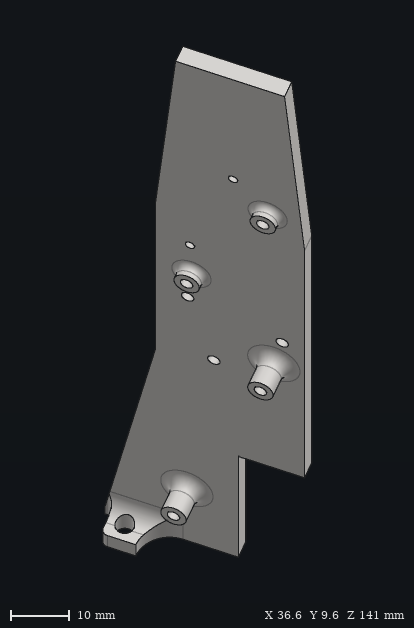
import cadquery as cq

height = 141.0
width = 36.6
thickness = 3.4
total_depth = 9.6
foot_edge_height = 2.0
foot_right = 24.5
notch_height = 29.9
waist_left = 9.3
waist_height = 53.8
shoulder_height = 97.3
top_left = 13.0
top_right = 33.0

long_boss_centres = [(15.1, 15.5), (31.0, 60.9)]
short_boss_centres = [(15.9, 79.5), (29.9, 104.3)]
boss_radius = 2.33
boss_bore_radius = 1.1
long_boss_length = total_depth - thickness
short_boss_length = 2.3
long_boss_fillet = 2.47
short_boss_fillet = 1.3

small_hole_radius = 0.8
small_hole_centres = [(15.6, 87.8), (23.5, 111.5)]
large_hole_radius = 1.1
large_hole_centres = [(15.2, 72.3), (32.5, 67.8), (20.0, 56.1)]

lug_left = 1.7
lug_right = 8.2
lug_height = 3.4
lug_top_fillet = 3.8
lug_left_fillet = 1.3
lug_corner_radius = 1.3
lug_hole_x = 5.0
lug_hole_y = -6.5
lug_hole_radius = 1.7


def plate_outline(depth):
    """Plate outline extruded from the back face towards -Y."""
    return (
        cq.Workplane("XZ")
        .polyline([
            (0, 0),
            (foot_right, 0),
            (foot_right, notch_height),
            (width, notch_height),
            (width, shoulder_height),
            (top_right, height),
            (top_left, height),
            (waist_left, shoulder_height),
            (waist_left, waist_height),
            (0, foot_edge_height),
        ])
        .close()
        .extrude(depth)
    )


def round_bars(centres, radius, depth):
    """Cylinders running from the back face towards -Y."""
    return cq.Workplane("XZ").pushPoints(centres).circle(radius).extrude(depth)


def boss(centre, length, fillet):
    """Round boss whose base flares into the plate with a concave fillet."""
    x, z = centre
    profile = (
        cq.Workplane("XY")
        .lineTo(boss_radius + fillet, 0)
        .lineTo(boss_radius + fillet, -thickness)
        .radiusArc((boss_radius, -thickness - fillet), -fillet)
        .lineTo(boss_radius, -thickness - length)
        .lineTo(0, -thickness - length)
        .close()
    )
    return profile.revolve(360, (0, 0, 0), (0, 1, 0)).translate((x, 0, z))


def foot_lug():
    """Lug blended into the plate above and on both sides."""
    right_fillet = total_depth - thickness
    plan = (
        cq.Workplane("XY")
        .moveTo(lug_left - lug_left_fillet, 0)
        .lineTo(lug_left - lug_left_fillet, -thickness)
        .radiusArc((lug_left, -thickness - lug_left_fillet), lug_left_fillet)
        .lineTo(lug_left, -total_depth + lug_corner_radius)
        .radiusArc((lug_left + lug_corner_radius, -total_depth), -lug_corner_radius)
        .lineTo(lug_right, -total_depth)
        .radiusArc((lug_right + right_fillet, -thickness), right_fillet)
        .lineTo(lug_right + right_fillet, 0)
        .close()
        .extrude(lug_height + lug_top_fillet)
    )
    side = (
        cq.Workplane("YZ")
        .lineTo(-total_depth, 0)
        .lineTo(-total_depth, lug_height)
        .lineTo(-thickness - lug_top_fillet, lug_height)
        .radiusArc((-thickness, lug_height + lug_top_fillet), -lug_top_fillet)
        .lineTo(0, lug_height + lug_top_fillet)
        .close()
        .extrude(width)
    )
    hole = (
        cq.Workplane("XY")
        .center(lug_hole_x, lug_hole_y)
        .circle(lug_hole_radius)
        .extrude(lug_height + lug_top_fillet)
    )
    return plan.intersect(side).intersect(plate_outline(total_depth)).cut(hole)


result = plate_outline(thickness).union(foot_lug())

for centre in long_boss_centres:
    result = result.union(boss(centre, long_boss_length, long_boss_fillet))
for centre in short_boss_centres:
    result = result.union(boss(centre, short_boss_length, short_boss_fillet))

result = result.cut(round_bars(long_boss_centres + short_boss_centres, boss_bore_radius, total_depth))
result = result.cut(round_bars(small_hole_centres, small_hole_radius, thickness))
result = result.cut(round_bars(large_hole_centres, large_hole_radius, thickness))